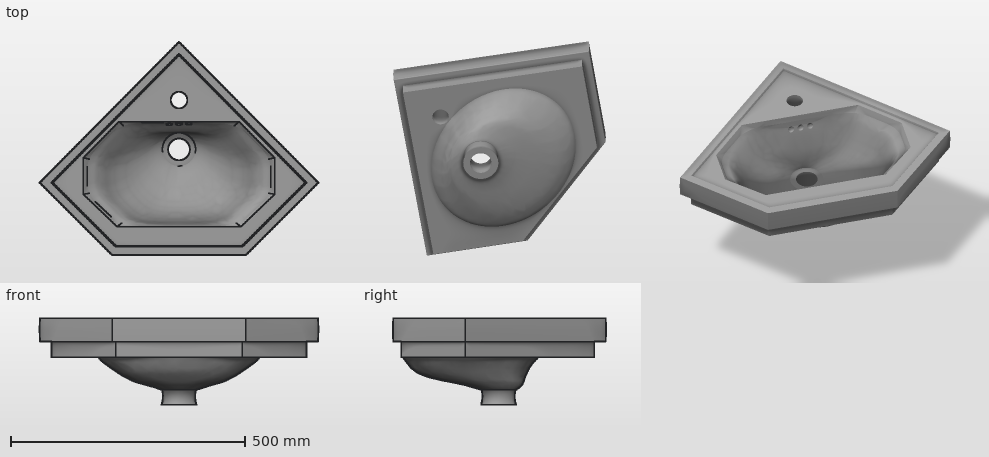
import cadquery as cq
import math


overall_width = 596.13
overall_depth = 455.96
corner_to_sides = 301.0
front_edge_width = 286.0
rim_height = 50.0
rim_bottom_round = 1.5
rim_bulge = 0.8

skirt_inset = 18.0
skirt_bottom = -84.0
deck_inset = 18.0
deck_depth = 4.0
deck_wall_slope = 2.3

total_height = 185.0
drain_y = -230.0
drain_hole_diameter = 46.0
drain_seat_diameter = 71.0
neck_top = -153.0
neck_overlap = 5.0
neck_flare_diameter = 75.0
neck_root_diameter = 73.0
neck_waist_diameter = 69.5

tap_hole_y = -124.6
tap_hole_diameter = 35.0
overflow_diameter = 13.0
overflow_spacing = 21.0
overflow_count = 3
overflow_z = -36.0
overflow_inner_y = -165.0
overflow_reach = 25.0

back_flat_ratio = 0.627
front_flat_ratio = 0.647
side_flat_start = 0.345
side_flat_end = 0.692

ring_point_fractions = (0.2, 0.5, 0.8)
drain_seat_radius = drain_seat_diameter / 2
drain_seat_z = -138.0
bowl_inside = [
    (-deck_depth, 204.3, -170.5, -395.0, 0.0),
    (-17.0, 196.0, -172.5, -394.0, 0.1),
    (-45.0, 167.0, -179.0, -390.0, 0.25),
    (-80.0, 140.0, -190.0, -380.0, 0.35),
    (-112.0, 95.0, -193.0, -348.0, 0.6),
    (-129.0, 60.0, -194.0, -295.0, 0.9),
    (drain_seat_z, drain_seat_radius, drain_y + drain_seat_radius, drain_y - drain_seat_radius, 1.0),
]
neck_flare_radius = neck_flare_diameter / 2
bowl_outside = [
    (skirt_bottom, 172.0, -145.0, -434.0, 1.0),
    (-106.0, 146.0, -164.0, -417.0, 1.0),
    (-125.0, 117.0, -173.0, -383.0, 1.0),
    (-138.0, 88.0, -177.0, -325.0, 1.0),
    (-147.0, 55.0, -184.0, -287.0, 1.0),
    (neck_top, neck_flare_radius, drain_y + neck_flare_radius, drain_y - neck_flare_radius, 1.0),
]


def basin_outline(inset, z):
    """Five-sided plan outline, moved inward by the inset."""
    half_width = overall_width / 2
    half_front = front_edge_width / 2
    outline = cq.Workplane("XY").workplane(offset=z).polyline([
        (0, 0),
        (half_width, -corner_to_sides),
        (half_front, -overall_depth),
        (-half_front, -overall_depth),
        (-half_width, -corner_to_sides),
    ]).close()
    if inset:
        outline = outline.offset2D(-inset, "intersection")
    return outline


def bowl_section(z, half_width, back_y, front_y, roundness):
    """Closed wire: an octagon, or a smooth ring that blends the octagon into an ellipse."""
    depth = back_y - front_y
    side_back_y = back_y - side_flat_start * depth
    side_front_y = back_y - side_flat_end * depth
    octagon = [
        (-half_width * back_flat_ratio, back_y),
        (half_width * back_flat_ratio, back_y),
        (half_width, side_back_y),
        (half_width, side_front_y),
        (half_width * front_flat_ratio, front_y),
        (-half_width * front_flat_ratio, front_y),
        (-half_width, side_front_y),
        (-half_width, side_back_y),
    ]
    if roundness == 0:
        return cq.Wire.makePolygon([cq.Vector(x, y, z) for x, y in octagon], close=True)

    def blend(straight, angle):
        ring_x = half_width * math.sin(angle)
        ring_y = (back_y + front_y) / 2 + depth / 2 * math.cos(angle)
        x = straight[0] + roundness * (ring_x - straight[0])
        y = straight[1] + roundness * (ring_y - straight[1])
        return cq.Vector(x, y, z)

    step = 2 * math.pi / len(octagon)
    points = []
    for i, start in enumerate(octagon):
        end = octagon[(i + 1) % len(octagon)]
        for fraction in ring_point_fractions:
            x = start[0] + fraction * (end[0] - start[0])
            y = start[1] + fraction * (end[1] - start[1])
            points.append(blend((x, y), (i - 0.5 + fraction) * step))
    return cq.Wire.assembleEdges([cq.Edge.makeSpline(points, periodic=True)])


def bowl(sections):
    wires = [bowl_section(*section) for section in sections]
    return cq.Workplane(cq.Solid.makeLoft(wires, False))


def bowl_cavity():
    """Walls between the opening and the first smooth ring, then the smooth basin below."""
    opening, first_ring = [bowl_section(*section) for section in bowl_inside[:2]]
    walls = cq.Workplane(cq.Solid.makeLoft([opening, first_ring], True))
    return walls.union(bowl(bowl_inside[1:]))


def rim():
    """Slab whose sides swell from the top and bottom edges to mid height."""
    bottom = basin_outline(rim_bulge, -rim_height).val()
    middle = basin_outline(0, -rim_height / 2).wire().val()
    top = basin_outline(rim_bulge, 0).val()
    slab = cq.Workplane(cq.Solid.makeLoft([bottom, middle, top], False))
    return slab.faces("<Z").edges().fillet(rim_bottom_round)


def skirt():
    return basin_outline(skirt_inset, skirt_bottom).extrude(-rim_height - skirt_bottom)


def deck_recess():
    slope_angle = math.degrees(math.atan(deck_wall_slope / deck_depth))
    return basin_outline(deck_inset, 0).extrude(-deck_depth, taper=slope_angle)


def drain_neck():
    """Outlet whose wall curves in to a waist and flares out again at the bottom."""
    root_radius = neck_root_diameter / 2
    waist_radius = neck_waist_diameter / 2
    start_z = neck_top + neck_overlap
    waist_z = (neck_top - total_height) / 2
    profile = (
        cq.Workplane("XZ")
        .moveTo(0, start_z)
        .lineTo(root_radius, start_z)
        .lineTo(root_radius, neck_top)
        .threePointArc((waist_radius, waist_z), (neck_flare_radius, -total_height))
        .lineTo(0, -total_height)
        .close()
    )
    return profile.revolve(360, (0, 0, 0), (0, 1, 0)).translate((0, drain_y, 0))


def vertical_hole(y, diameter):
    return cq.Workplane("XY").center(0, y).circle(diameter / 2).extrude(-total_height)


def overflow_holes():
    first_x = -overflow_spacing * (overflow_count - 1) / 2
    centres = [(first_x + i * overflow_spacing, overflow_z) for i in range(overflow_count)]
    holes = cq.Workplane("XZ", origin=(0, overflow_inner_y, 0)).pushPoints(centres)
    return holes.circle(overflow_diameter / 2).extrude(overflow_reach)


result = rim().union(skirt()).union(bowl(bowl_outside)).union(drain_neck())
result = result.cut(deck_recess()).cut(bowl_cavity())
result = result.cut(vertical_hole(drain_y, drain_hole_diameter))
result = result.cut(vertical_hole(tap_hole_y, tap_hole_diameter))
result = result.cut(overflow_holes())